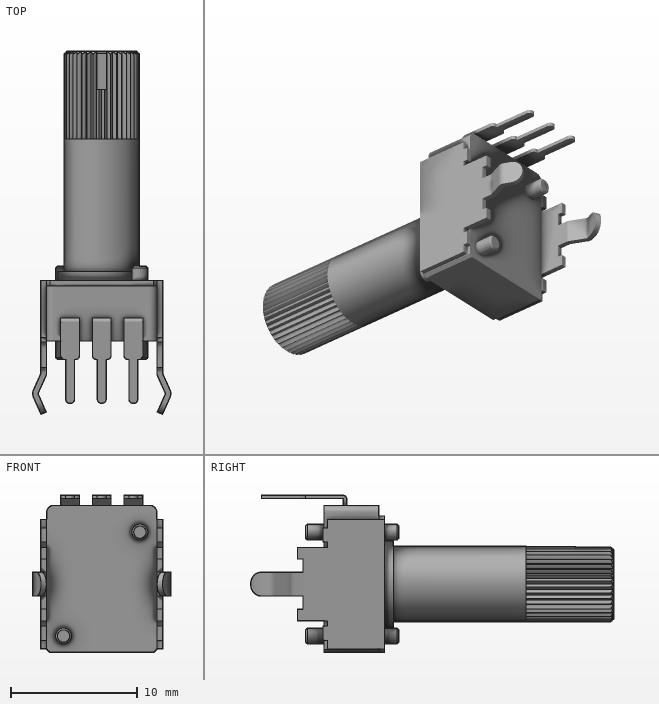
import cadquery as cq
import math


OVERALL_LENGTH = 28.75

SHEET = 0.45
TERMINAL_SHEET = 0.3

BLOCK_WIDTH = 8.75
BLOCK_TOP = 6.25
BLOCK_BOTTOM = -5.4
BLOCK_BACK = -4.8
BLOCK_TOP_RADIUS = 0.58
BLOCK_BOTTOM_CHAMFER = 0.23

PEG_DIAMETER = 1.26
PEG_X = 3.02
PEG_Z = 4.1
PEG_FRONT = 1.12
PEG_BACK = -6.27
PEG_CHAMFER = 0.15
PEG_PLACES = [(PEG_X, PEG_Z), (-PEG_X, -PEG_Z)]

COLLAR_DIAMETER = 6.9
COLLAR_FRONT = 0.7
SHAFT_DIAMETER = 6.0
SHAFT_END = 18.15
SHAFT_CHAMFER = 0.25
KNURL_LENGTH = 6.95
KNURL_TEETH = 40
KNURL_DEPTH = 0.245
KEY_SLOT_LENGTH = 3.05
KEY_SLOT_FLOOR = 2.7
KEY_WIDTH = 0.78
KEY_TOP = 2.9
KEY_SETBACK = 0.17

PLATE_HALF_HEIGHT = -BLOCK_BOTTOM
PLATE_CHAMFER = 0.3
WING_HALF_HEIGHT = PLATE_HALF_HEIGHT - PLATE_CHAMFER
WING_BACK = -4.5
TAB_BACK = -4.9
TAB_OUTER_Z = 4.45
TAB_INNER_Z = 3.34
FOOT_BACK = -6.9
FOOT_OUTER_Z = 2.9
FOOT_INNER_Z = 1.98
BRIDGE_BACK = -6.47

LEG_HALF_WIDTH = 0.95
LEG_KNEE_Y = -8.97
LEG_KNEE_X = 5.477
LEG_TILT = 24.0
LEG_KNEE_RADIUS = 0.65
LEG_BEND_RADIUS = 0.3
LEG_TIP_Y = SHAFT_END - OVERALL_LENGTH
LEG_TIP_RADIUS = 0.92

TERMINAL_PITCH = 2.5
TERMINAL_COUNT = 3
TERMINAL_TOP = 7.05
TERMINAL_FRONT = -3.0
TERMINAL_BEND_RADIUS = 0.35
BLADE_WIDTH = 1.5
BLADE_BACK = -6.27
BLADE_CORNER_RADIUS = 0.32
PIN_WIDTH = 0.72
PIN_BACK = -9.75
PIN_TIP_RADIUS = 0.35


def cylinder_along_y(diameter, y_back, y_front, x=0, z=0):
    """Solid cylinder parallel to the Y axis."""
    return (
        cq.Workplane("XZ", origin=(x, y_front, z))
        .circle(diameter / 2)
        .extrude(y_front - y_back)
    )


def make_block():
    """Plain housing block behind the bracket plate."""
    height = BLOCK_TOP - BLOCK_BOTTOM
    middle_z = (BLOCK_TOP + BLOCK_BOTTOM) / 2
    block = (
        cq.Workplane("XZ", origin=(0, -SHEET, middle_z))
        .rect(BLOCK_WIDTH, height)
        .extrude(-SHEET - BLOCK_BACK)
    )
    block = block.edges("|Y and >Z").fillet(BLOCK_TOP_RADIUS)
    return block.edges("|Y and <Z").chamfer(BLOCK_BOTTOM_CHAMFER)


def make_peg(x, z):
    """Locating peg with both ends chamfered."""
    peg = cylinder_along_y(PEG_DIAMETER, PEG_BACK, PEG_FRONT, x, z)
    return peg.faces("<Y or >Y").chamfer(PEG_CHAMFER)


def flat_bar(bottom, top, y_front):
    """Bar as wide as the key, from y_front to the inner end of the key slot."""
    return (
        cq.Workplane("XZ", origin=(0, y_front, (bottom + top) / 2))
        .rect(KEY_WIDTH, top - bottom)
        .extrude(y_front - SHAFT_END + KEY_SLOT_LENGTH)
    )


def make_knurl():
    """Serrated shaft end: V grooves, one of them at the top, where a flat key sits in a slot."""
    crest_radius = SHAFT_DIAMETER / 2
    valley_radius = crest_radius - KNURL_DEPTH
    half_tooth = math.pi / KNURL_TEETH
    outline = []
    for i in range(2 * KNURL_TEETH):
        radius = valley_radius if i % 2 == 0 else crest_radius
        angle = math.pi / 2 + i * half_tooth
        outline.append((radius * math.cos(angle), radius * math.sin(angle)))
    knurl = (
        cq.Workplane("XZ", origin=(0, SHAFT_END, 0))
        .polyline(outline)
        .close()
        .extrude(KNURL_LENGTH)
    )
    envelope = (
        cylinder_along_y(SHAFT_DIAMETER, SHAFT_END - KNURL_LENGTH, SHAFT_END)
        .faces(">Y")
        .chamfer(SHAFT_CHAMFER)
    )
    slot = flat_bar(KEY_SLOT_FLOOR, crest_radius, SHAFT_END)
    key = flat_bar(KEY_SLOT_FLOOR, KEY_TOP, SHAFT_END - KEY_SETBACK)
    return knurl.intersect(envelope).cut(slot).union(key)


def make_housing():
    """Block, collar, shaft and locating pegs as one solid."""
    collar = cylinder_along_y(COLLAR_DIAMETER, -SHEET, COLLAR_FRONT)
    shaft = cylinder_along_y(SHAFT_DIAMETER, -SHEET, SHAFT_END - KNURL_LENGTH)
    housing = make_block().union(collar).union(shaft).union(make_knurl())
    for x, z in PEG_PLACES:
        housing = housing.union(make_peg(x, z))
    return housing


def make_plate():
    """Front plate of the bracket, with clearance for the collar and the pegs."""
    plate = (
        cq.Workplane("XZ")
        .rect(BLOCK_WIDTH, 2 * PLATE_HALF_HEIGHT)
        .extrude(SHEET)
        .edges("|Y")
        .chamfer(PLATE_CHAMFER)
    )
    plate = plate.cut(cylinder_along_y(COLLAR_DIAMETER, -SHEET, 0))
    for x, z in PEG_PLACES:
        plate = plate.cut(cylinder_along_y(PEG_DIAMETER, -SHEET, 0, x, z))
    return plate


def make_wing():
    """Right-hand wing: a flat sheet beside the block, with tabs and feet at its back."""
    upper_half = [
        (0, WING_HALF_HEIGHT),
        (WING_BACK, WING_HALF_HEIGHT),
        (WING_BACK, TAB_OUTER_Z),
        (TAB_BACK, TAB_OUTER_Z),
        (TAB_BACK, TAB_INNER_Z),
        (WING_BACK, TAB_INNER_Z),
        (WING_BACK, FOOT_OUTER_Z),
        (FOOT_BACK, FOOT_OUTER_Z),
        (FOOT_BACK, FOOT_INNER_Z),
        (BRIDGE_BACK, FOOT_INNER_Z),
    ]
    lower_half = [(y, -z) for y, z in reversed(upper_half)]
    return (
        cq.Workplane("YZ", origin=(BLOCK_WIDTH / 2, 0, 0))
        .polyline(upper_half + lower_half)
        .close()
        .extrude(SHEET)
    )


def round_bend(leg, corner, radius):
    """Round the leg's edge parallel to Z at the given X, Y corner."""
    x, y = corner
    return leg.edges(cq.selectors.NearestToPointSelector((x, y, 0))).fillet(radius)


def make_leg():
    """Right-hand snap leg: a strip bent outward, back inward at the knee, with a round tip."""
    tilt = math.radians(LEG_TILT)
    inner_x = BLOCK_WIDTH / 2
    outer_x = inner_x + SHEET
    corner_x = LEG_KNEE_X + LEG_KNEE_RADIUS * (1 / math.cos(tilt) - 1)
    bend_y = LEG_KNEE_Y + (corner_x - outer_x) / math.tan(tilt)
    inner_bend_y = bend_y - SHEET * math.tan(tilt / 2)
    tip_x = corner_x - (LEG_KNEE_Y - LEG_TIP_Y) * math.tan(tilt)
    inner_corner = (corner_x - SHEET / math.cos(tilt), LEG_KNEE_Y)
    outline = [
        (inner_x, BRIDGE_BACK),
        (outer_x, BRIDGE_BACK),
        (outer_x, bend_y),
        (corner_x, LEG_KNEE_Y),
        (tip_x, LEG_TIP_Y),
        (tip_x - SHEET * math.cos(tilt), LEG_TIP_Y + SHEET * math.sin(tilt)),
        inner_corner,
        (inner_x, inner_bend_y),
    ]
    leg = (
        cq.Workplane("XY", origin=(0, 0, -LEG_HALF_WIDTH))
        .polyline(outline)
        .close()
        .extrude(2 * LEG_HALF_WIDTH)
    )
    leg = round_bend(leg, (corner_x, LEG_KNEE_Y), LEG_KNEE_RADIUS)
    leg = round_bend(leg, inner_corner, LEG_KNEE_RADIUS - SHEET)
    leg = round_bend(leg, (outer_x, bend_y), LEG_BEND_RADIUS)
    return leg.faces("<Y").edges("not |Z").fillet(LEG_TIP_RADIUS)


def make_bracket():
    """Plate with a wing and a snap leg on each side."""
    side = make_wing().union(make_leg())
    return make_plate().union(side).union(side.mirror("YZ"))


def make_terminal(x):
    """Terminal standing on the block, bent to the back, with a wide blade and a narrow pin."""
    side_outline = [
        (TERMINAL_FRONT, BLOCK_TOP),
        (TERMINAL_FRONT, TERMINAL_TOP),
        (PIN_BACK, TERMINAL_TOP),
        (PIN_BACK, TERMINAL_TOP - TERMINAL_SHEET),
        (TERMINAL_FRONT - TERMINAL_SHEET, TERMINAL_TOP - TERMINAL_SHEET),
        (TERMINAL_FRONT - TERMINAL_SHEET, BLOCK_TOP),
    ]
    strip = (
        cq.Workplane("YZ", origin=(x - BLADE_WIDTH / 2, 0, 0))
        .polyline(side_outline)
        .close()
        .extrude(BLADE_WIDTH)
        .edges("|X and >Y and >Z")
        .fillet(TERMINAL_BEND_RADIUS)
    )
    base = cq.Workplane("XY", origin=(x, 0, BLOCK_TOP))
    height = TERMINAL_TOP - BLOCK_TOP
    blade = (
        base.center(0, (TERMINAL_FRONT + BLADE_BACK) / 2)
        .rect(BLADE_WIDTH, TERMINAL_FRONT - BLADE_BACK)
        .extrude(height)
        .edges("|Z and <Y")
        .fillet(BLADE_CORNER_RADIUS)
    )
    pin = (
        base.center(0, (TERMINAL_FRONT + PIN_BACK) / 2)
        .rect(PIN_WIDTH, TERMINAL_FRONT - PIN_BACK)
        .extrude(height)
        .edges("|Z and <Y")
        .fillet(PIN_TIP_RADIUS)
    )
    return strip.intersect(blade.union(pin))


housing = make_housing()
bracket = make_bracket()
terminals = []
for index in range(TERMINAL_COUNT):
    terminal_x = (index - (TERMINAL_COUNT - 1) / 2) * TERMINAL_PITCH
    terminals.append(make_terminal(terminal_x).val())

result = cq.Compound.makeCompound([housing.val(), bracket.val(), *terminals])